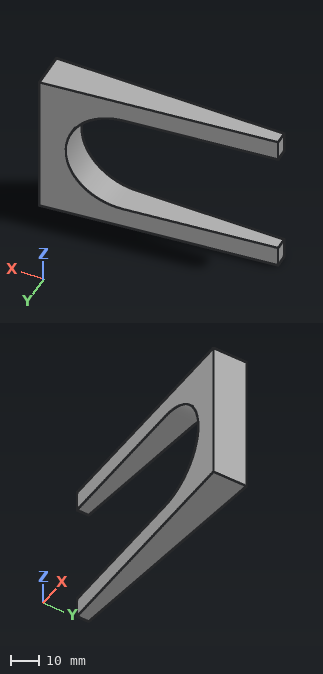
import cadquery as cq

length = 90.0
height = 60.0
thick_end = 14.0
thin_end = 5.0

slot_width = 43.0
slot_depth = 80.0
slot_radius = slot_width / 2
arc_center_x = slot_depth - slot_radius


def wedge():
    """Tapered plate with a flat face at Y = 0, centred on Z = 0."""
    return (
        cq.Workplane("XY")
        .polyline([(0, 0), (length, 0), (length, thick_end), (0, thin_end)])
        .close()
        .extrude(height / 2, both=True)
    )


def slot():
    """Round-ended cutter passing through the full thickness along Y."""
    return (
        cq.Workplane("XZ")
        .moveTo(0, -slot_radius)
        .lineTo(arc_center_x, -slot_radius)
        .threePointArc((slot_depth, 0), (arc_center_x, slot_radius))
        .lineTo(0, slot_radius)
        .close()
        .extrude(-thick_end)
    )


result = wedge().cut(slot())